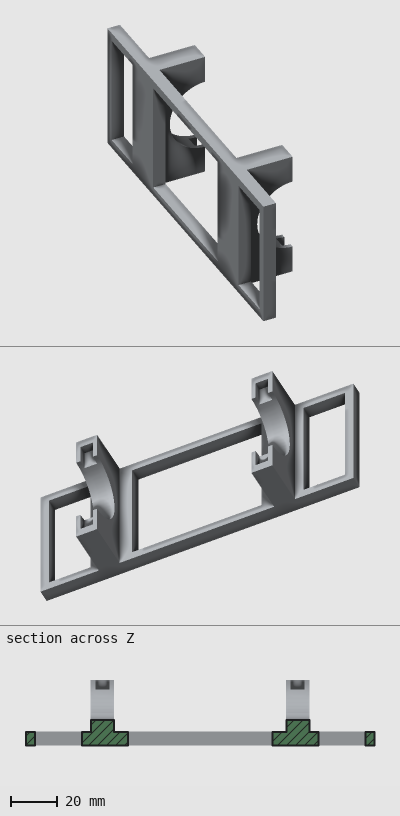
import cadquery as cq

plate_length = 150.0
plate_height = 60.0
plate_thickness = 6.0
border = 4.0
middle_window_width = 62.0
bar_width = 20.0

total_depth = 28.0
arm_width = 10.0
arm_spacing = 84.0
saddle_radius = 17.0

slot_width = 6.0
slot_depth = 4.0
slot_end_wall = border

window_height = plate_height - 2 * border
slot_height = plate_height - 2 * slot_end_wall
slot_floor_y = total_depth - slot_depth
side_window_inner_x = middle_window_width / 2 + bar_width
side_window_outer_x = plate_length / 2 - border
side_window_width = side_window_outer_x - side_window_inner_x
side_window_center_x = (side_window_inner_x + side_window_outer_x) / 2


def block(width, depth, height, center_x, front_y=0.0):
    """Box centered on center_x and Z = 0, reaching back from front_y by depth."""
    box = cq.Workplane("XY").box(width, depth, height, centered=(True, False, True))
    return box.translate((center_x, front_y, 0))


def make_saddle_cutter(center_x):
    """Cylinder along X, centered on the rear face of the arms."""
    return (
        cq.Workplane("YZ", origin=(center_x, 0, 0))
        .center(total_depth, 0)
        .circle(saddle_radius)
        .extrude(arm_width / 2, both=True)
    )


def make_plate():
    """Rectangular plate with a middle window and a narrow window at each end."""
    plate = block(plate_length, plate_thickness, plate_height, 0)
    plate = plate.cut(block(middle_window_width, plate_thickness, window_height, 0))
    for side in (-1, 1):
        window = block(side_window_width, plate_thickness, window_height, side * side_window_center_x)
        plate = plate.cut(window)
    return plate


def make_arm(center_x):
    """Full-height arm with a saddle and a narrow slot in its rear face."""
    arm = block(arm_width, total_depth, plate_height, center_x)
    arm = arm.cut(make_saddle_cutter(center_x))
    return arm.cut(block(slot_width, slot_depth, slot_height, center_x, slot_floor_y))


result = make_plate()
for side in (-1, 1):
    result = result.union(make_arm(side * arm_spacing / 2))